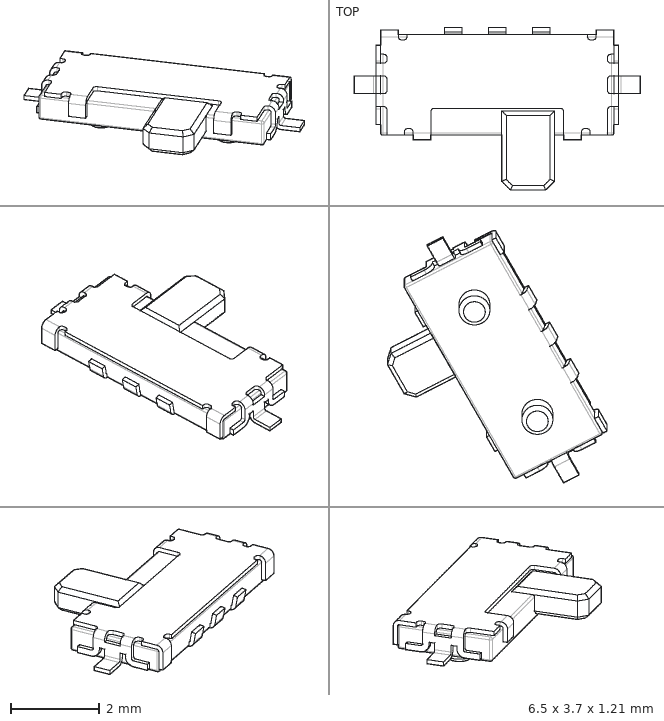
import cadquery as cq
import math


sheet = 0.105
bend_inner = 0.05
bend_outer = bend_inner + sheet

housing_length = 5.305
housing_width = 2.29
housing_height = 0.6
half_length = housing_length / 2
half_width = housing_width / 2
cover_top = housing_height + sheet

peg_diameter = 0.7
peg_length = 0.5
peg_chamfer = 0.105
peg_half_spacing = 1.5
peg_y = 0.07

terminal_width = 0.4
terminal_pitch = 1.0
terminal_lean = math.radians(10)
terminal_bend_y = 1.11
terminal_blade = 0.25

tab_width = 0.4
relief_width = 0.2
relief_depth = 0.15
rear_relief_depth = 0.125
notch_radius = 0.08
window_half_length = 1.51
window_rear_y = -0.53
front_tab_bottom = 0.22
rear_tab_bottom = 0.1
flange_half_width = 0.495
flange_window_bottom = 0.5
arm_width = 0.155
arm_end_y = 0.905
arm_bottom = bend_inner
arm_inner_radius = 0.05
arm_slot_top = 0.32
foot_reach = 3.25

knob_width = 1.2
knob_x = 0.7
knob_rear_y = -0.59
knob_front_y = -2.39
knob_bottom = 0.1
knob_edge_chamfer = sheet
knob_corner_chamfer = 0.2


def box_between(x, y, z):
    """Box from (low, high) pairs along each axis."""
    size = [high - low for low, high in (x, y, z)]
    corner = (x[0], y[0], z[0])
    return cq.Workplane("XY").box(*size, centered=False).translate(corner)


def make_knob():
    half = knob_width / 2
    block = box_between(
        (knob_x - half, knob_x + half), (knob_front_y, knob_rear_y), (knob_bottom, cover_top)
    )
    block = block.edges("|Z and <Y").chamfer(knob_corner_chamfer)
    return block.faces("<Z or >Z").edges().chamfer(knob_edge_chamfer)


def make_peg(x):
    peg = cq.Workplane("XY").center(x, peg_y).circle(peg_diameter / 2).extrude(-peg_length)
    return peg.faces("<Z").chamfer(peg_chamfer)


def make_terminal(x):
    """Strip leaving the housing underside and bending up into a leaning blade."""

    def on_bend(radius, angle):
        return (terminal_bend_y + radius * math.cos(angle), bend_outer + radius * math.sin(angle))

    def up_blade(point):
        return (
            point[0] + terminal_blade * math.sin(terminal_lean),
            point[1] + terminal_blade * math.cos(terminal_lean),
        )

    start = -math.pi / 2
    end = -terminal_lean
    middle = (start + end) / 2
    outer_end = on_bend(bend_outer, end)
    inner_end = on_bend(bend_inner, end)
    root_y = terminal_bend_y - sheet
    profile = (
        cq.Workplane("YZ")
        .moveTo(root_y, 0)
        .lineTo(*on_bend(bend_outer, start))
        .threePointArc(on_bend(bend_outer, middle), outer_end)
        .lineTo(*up_blade(outer_end))
        .lineTo(*up_blade(inner_end))
        .lineTo(*inner_end)
        .threePointArc(on_bend(bend_inner, middle), on_bend(bend_inner, start))
        .lineTo(root_y, sheet)
        .close()
    )
    return profile.extrude(terminal_width / 2, both=True).translate((x, 0, 0))


def make_housing(knob):
    housing = cq.Workplane("XY").box(
        housing_length, housing_width, housing_height, centered=(True, True, False)
    )
    housing = housing.edges().fillet(bend_inner)
    for side in (-1, 1):
        housing = housing.union(make_peg(side * peg_half_spacing))
    for step in (-1, 0, 1):
        housing = housing.union(make_terminal(step * terminal_pitch))
    return housing.cut(knob)


def make_fold(width, bottom):
    """Strip folded down over an edge at local X = 0, centred on local Y."""
    bend_z = cover_top - bend_outer
    profile = (
        cq.Workplane("XZ")
        .moveTo(-bend_inner, cover_top)
        .radiusArc((sheet, bend_z), bend_outer)
        .lineTo(sheet, bottom)
        .lineTo(0, bottom)
        .lineTo(0, bend_z)
        .radiusArc((-bend_inner, housing_height), -bend_inner)
        .close()
    )
    return profile.extrude(width / 2, both=True)


def make_notch(x, y, rounded):
    """Cutter through the top plate with its inner vertical edges rounded."""
    cutter = box_between(x, y, (housing_height, cover_top))
    return cutter.edges(rounded).fillet(notch_radius)


def make_plate():
    """Flat top of the cover for the whole housing, notched for folds, reliefs and the knob."""
    plate = box_between(
        (-half_length, half_length), (-half_width, half_width), (housing_height, cover_top)
    )
    window = make_notch(
        (-window_half_length, window_half_length), (-half_width, window_rear_y), "|Z and >Y"
    )
    plate = plate.cut(window)

    tab_outer = window_half_length + tab_width
    front_relief = make_notch(
        (tab_outer, tab_outer + relief_width), (-half_width, relief_depth - half_width), "|Z and >Y"
    )
    front_strip = box_between(
        (window_half_length, tab_outer),
        (-half_width, bend_inner - half_width),
        (housing_height, cover_top),
    )
    tab_inner = half_length - tab_width
    rear_relief = make_notch(
        (tab_inner - relief_width, tab_inner),
        (half_width - rear_relief_depth, half_width),
        "|Z and <Y",
    )
    rear_strip = box_between(
        (tab_inner, half_length), (half_width - bend_inner, half_width), (housing_height, cover_top)
    )
    notch_x = (half_length - relief_depth, half_length)
    end_relief = make_notch(
        notch_x, (flange_half_width, flange_half_width + relief_width), "|Z and <X"
    )
    end_window = make_notch(notch_x, (-tab_width / 2, tab_width / 2), "|Z and <X")
    end_strip = box_between(
        (half_length - bend_inner, half_length),
        (-flange_half_width, flange_half_width),
        (housing_height, cover_top),
    )
    end_corner = make_notch(notch_x, (-half_width, -flange_half_width), "|Z and <X and >Y")
    cutters = (
        front_relief, front_strip, rear_relief, rear_strip,
        end_relief, end_window, end_strip, end_corner,
    )
    for cutter in cutters:
        plate = plate.cut(cutter).cut(cutter.mirror("YZ"))
    return plate


def make_arm():
    """Hooked arm on the +Y side of an end flange, running down and then outward."""
    arm_outer_radius = arm_inner_radius + arm_width
    bend_y = flange_half_width + arm_inner_radius
    bend_z = arm_bottom + arm_outer_radius
    arm_inner_y = flange_half_width - arm_width
    arm_top = arm_bottom + arm_width
    profile = (
        cq.Workplane("YZ")
        .moveTo(arm_inner_y, arm_slot_top)
        .lineTo(arm_inner_y, bend_z)
        .radiusArc((bend_y, arm_bottom), -arm_outer_radius)
        .lineTo(arm_end_y, arm_bottom)
        .lineTo(arm_end_y, arm_top)
        .lineTo(bend_y, arm_top)
        .radiusArc((flange_half_width, bend_z), arm_inner_radius)
        .lineTo(flange_half_width, arm_slot_top)
        .close()
    )
    return profile.extrude(sheet).translate((half_length, 0, 0))


def make_foot():
    """Strip running down from an end flange and bending outward into a mounting foot."""
    outer_x = half_length + sheet
    bend_x = outer_x + bend_inner
    profile = (
        cq.Workplane("XZ")
        .moveTo(half_length, arm_slot_top)
        .lineTo(half_length, bend_outer)
        .radiusArc((bend_x, 0), -bend_outer)
        .lineTo(foot_reach, 0)
        .lineTo(foot_reach, sheet)
        .lineTo(bend_x, sheet)
        .radiusArc((outer_x, bend_outer), bend_inner)
        .lineTo(outer_x, arm_slot_top)
        .close()
    )
    return profile.extrude(tab_width / 2, both=True)


def make_end_flange():
    """Flange at the +X end with a window through its bend, two arms and a foot."""
    flange = make_fold(2 * flange_half_width, arm_slot_top).translate((half_length, 0, 0))
    window = box_between(
        (half_length - bend_inner, half_length + sheet),
        (-tab_width / 2, tab_width / 2),
        (flange_window_bottom, cover_top),
    )
    arm = make_arm()
    return flange.cut(window).union(arm).union(arm.mirror("XZ")).union(make_foot())


def make_cover():
    front_tab = make_fold(tab_width, front_tab_bottom).rotate((0, 0, 0), (0, 0, 1), -90)
    front_tab = front_tab.translate((window_half_length + tab_width / 2, -half_width, 0))
    rear_tab = make_fold(tab_width, rear_tab_bottom).rotate((0, 0, 0), (0, 0, 1), 90)
    rear_tab = rear_tab.translate((half_length - tab_width / 2, half_width, 0))
    cover = make_plate()
    for feature in (front_tab, rear_tab, make_end_flange()):
        cover = cover.union(feature).union(feature.mirror("YZ"))
    return cover


knob = make_knob()
housing = make_housing(knob)
cover = make_cover()

result = cq.Compound.makeCompound([body.solids().val() for body in (housing, cover, knob)])